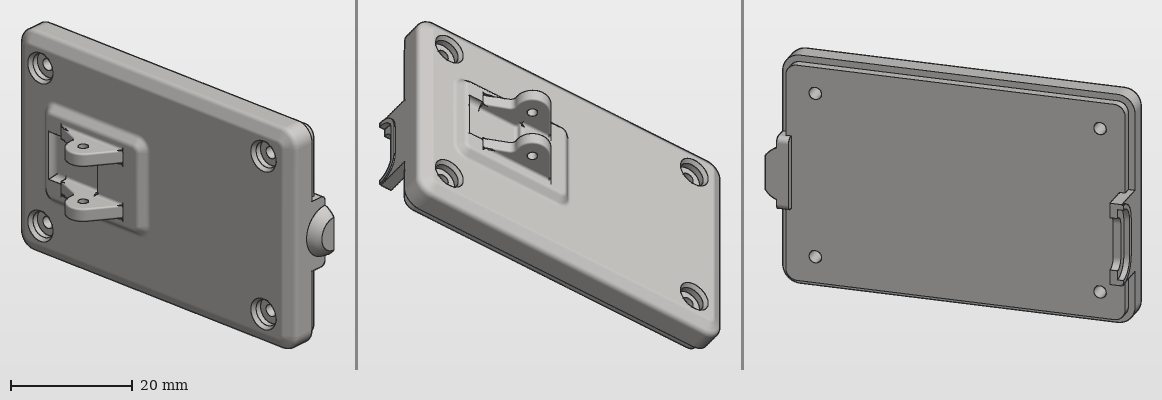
import cadquery as cq
import math

plate_width = 61.1
plate_height = 40.3
plate_corner_radius = 3.05
rim_depth = 5.0
lip_back = 6.7
lip_inset = 1.15
bevel_inset = 2.15
bevel_angle = 30
edge_radius = 1.0
tab_thickness = 2.1

screw_x = (-25.1, 24.3)
screw_z = 14.45
screw_diameter = 2.15
head_mouth_diameter = 5.6
head_diameter = 4.6
head_taper_depth = 0.75
head_depth = 1.85

pad_width = 22.85
pad_height = 18.05
pad_center_x = -12.5
pad_rise = 1.4
pad_sink = 0.2
pad_corner_radius = 2.3

pin_x = -11.5
pin_y = -4.5
pin_diameter = 1.7
lug_tip_radius = 3.05
lug_thickness = 2.35
lug_gap = 7.7
lug_left_x = -19.25
lug_right_x = -5.6
lug_toe_angle = 22.5
lug_neck_radius = 1.0
lug_edge_radius = 0.3
lug_foot_radius = 0.5

relief_left_x = -22.05
relief_depth = 1.25
relief_step_x = -11.5
relief_side_radius = 1.0
relief_overlap = 0.5

port_center_z = -3.6
port_tab_height = 14.4
port_tab_back = 11.8
port_opening_height = 9.25
port_opening_depth = 1.7
port_opening_radius = 1.6
port_recess_margin = 1.6
port_recess_depth = 1.0
port_recess_radius = 3.15
collar_margin = 2.4
collar_radius = 3.9
collar_rise = 0.25

button_tab_height = 12.8
button_tab_back = 8.2
button_tab_radius = 1.0
button_base_radius = 4.55
button_tip_radius = 3.0
button_rise = 1.95
button_bulge = 0.25

half_width = plate_width / 2
pad_y = -pad_rise


def block(x_min, x_max, y_min, y_max, height, center_z=0):
    """Box between the given X and Y limits, centred on center_z."""
    size_x = x_max - x_min
    size_y = y_max - y_min
    center = ((x_min + x_max) / 2, (y_min + y_max) / 2, center_z)
    return cq.Workplane("XY").box(size_x, size_y, height).translate(center)


def slab(width, height, corner_radius, y_front, y_back):
    """Plate in the XZ plane with rounded corners."""
    body = block(-width / 2, width / 2, y_front, y_back, height)
    return body.edges("|Y").fillet(corner_radius)


def make_plate():
    """Plate with a bevelled, softened front edge and a stepped lip at the back."""
    bevel_depth = bevel_inset * math.tan(math.radians(bevel_angle))
    plate = slab(plate_width, plate_height, plate_corner_radius, 0, rim_depth)
    plate = plate.faces("<Y").chamfer(bevel_inset, bevel_depth)
    near_front = cq.selectors.BoxSelector(
        (-plate_width, -0.65, -plate_height), (plate_width, bevel_depth + 0.05, plate_height), boundingbox=True
    )
    rims = plate.edges(near_front).edges("|X or |Z")
    plate = rims.fillet(edge_radius)
    lip = slab(
        plate_width - 2 * lip_inset,
        plate_height - 2 * lip_inset,
        plate_corner_radius - lip_inset,
        rim_depth - 0.65,
        lip_back,
    )
    return plate.union(lip)


def make_pad():
    """Raised pad whose 45-degree sides run on a little below the plate face."""
    width = pad_width + 2 * pad_sink
    height = pad_height + 2 * pad_sink
    pad = slab(width, height, pad_corner_radius + pad_sink, pad_y, 2 * pad_sink)
    pad = pad.faces("<Y").chamfer(pad_rise + pad_sink)
    pad = pad.faces("<Y").edges().fillet(edge_radius)
    return pad.translate((pad_center_x, 0, 0))


def blend_pad_foot(body):
    """Fillet the seam between the pad and the plate face."""
    reach = 0.65
    seam = cq.selectors.BoxSelector(
        (pad_center_x - pad_width / 2 - reach, -0.03, -pad_height / 2 - reach),
        (pad_center_x + pad_width / 2 + reach, 0.03, pad_height / 2 + reach),
        boundingbox=True,
    )
    return body.edges(seam).fillet(edge_radius)


def cut_gap(body):
    """Sink the pad between the lugs, ending in an S-shaped step on the right."""
    floor_y = pad_y + relief_depth
    step_radius = relief_depth / 2
    gap_left_x = relief_left_x + relief_side_radius
    mid_y = (pad_y + floor_y) / 2
    slant = step_radius * math.sqrt(0.5)
    above = pad_y - 9.5
    gap = (
        cq.Workplane("XY")
        .moveTo(gap_left_x, above)
        .lineTo(gap_left_x, floor_y)
        .lineTo(relief_step_x - step_radius, floor_y)
        .threePointArc(
            (relief_step_x - step_radius + slant, floor_y - step_radius + slant), (relief_step_x, mid_y)
        )
        .threePointArc(
            (relief_step_x + step_radius - slant, pad_y + step_radius - slant),
            (relief_step_x + step_radius, pad_y),
        )
        .lineTo(lug_right_x + 1.9, pad_y)
        .lineTo(lug_right_x + 1.9, above)
        .close()
        .extrude(lug_gap / 2, both=True)
    )
    foot_run = cq.selectors.BoxSelector(
        (gap_left_x - 0.65, pad_y - 0.05, -lug_gap), (lug_right_x + 2.55, floor_y + 0.05, lug_gap), boundingbox=True
    )
    gap = gap.edges(foot_run).edges("not |Z").fillet(lug_foot_radius)
    return body.cut(gap)


def cut_toe_pocket(body):
    """Wider, round-sided end of the sunk area, left of the lugs."""
    width = lug_gap + 2 * relief_overlap
    pocket = block(relief_left_x, lug_left_x, pad_y - 3.15, pad_y + relief_depth, width)
    pocket = pocket.faces(">Y").edges("<X or |X").fillet(relief_side_radius)
    return body.cut(pocket)


def polar(center, radius, degrees):
    """Point at an angle on a circle."""
    angle = math.radians(degrees)
    return (center[0] + radius * math.cos(angle), center[1] + radius * math.sin(angle))


def lug_outline():
    """Lug profile in XY: a round tip around the pin, a straight back and a shallow toe on the left."""
    pin = (pin_x, pin_y)
    back_x = lug_right_x - pin_x
    back_y = pad_y - pin_y
    back_distance = math.hypot(back_x, back_y)
    back_angle = math.degrees(math.atan2(back_y, back_x) - math.acos(lug_tip_radius / back_distance))

    toe_direction = math.radians(-lug_toe_angle)
    normal = (-math.sin(toe_direction), math.cos(toe_direction))
    along = (math.cos(toe_direction), math.sin(toe_direction))
    offset_start = (lug_left_x - lug_neck_radius * normal[0], pad_y - lug_neck_radius * normal[1])
    to_pin = (pin_x - offset_start[0], pin_y - offset_start[1])
    run = to_pin[0] * along[0] + to_pin[1] * along[1]
    drop = to_pin[0] * normal[0] + to_pin[1] * normal[1]
    reach = lug_tip_radius + lug_neck_radius
    run -= math.sqrt(reach**2 - drop**2)
    neck = (offset_start[0] + run * along[0], offset_start[1] + run * along[1])
    neck_start_angle = 90 - lug_toe_angle
    neck_end_angle = math.degrees(math.atan2(pin_y - neck[1], pin_x - neck[0]))
    tip_start_angle = neck_end_angle + 180

    root_y = -0.05
    return (
        cq.Workplane("XY")
        .moveTo(lug_left_x, root_y)
        .lineTo(lug_left_x, pad_y)
        .lineTo(*polar(neck, lug_neck_radius, neck_start_angle))
        .threePointArc(
            polar(neck, lug_neck_radius, (neck_start_angle + neck_end_angle) / 2),
            polar(neck, lug_neck_radius, neck_end_angle),
        )
        .threePointArc(
            polar(pin, lug_tip_radius, (tip_start_angle + 360 + back_angle) / 2),
            polar(pin, lug_tip_radius, back_angle),
        )
        .lineTo(lug_right_x, pad_y)
        .lineTo(lug_right_x, root_y)
        .close()
    )


def lug_foot(side):
    """Concave fillet strip along one face of a lug; side is +1 or -1 along Z."""
    radius = lug_foot_radius
    bend = radius * (1 - math.sqrt(0.5))
    return (
        cq.Workplane("YZ")
        .moveTo(pad_y, 0)
        .lineTo(pad_y - radius, 0)
        .threePointArc((pad_y - bend, side * bend), (pad_y, side * radius))
        .close()
        .extrude(plate_width, both=True)
    )


def make_lugs():
    """Pair of lugs with softened profile edges and filleted feet."""
    lug = lug_outline().extrude(lug_thickness)
    free = cq.selectors.BoxSelector(
        (lug_left_x - 0.65, pad_y - 9.5, -0.65), (lug_right_x + 0.65, pad_y + 0.05, lug_thickness + 0.65), boundingbox=True
    )
    lug = lug.edges(free).edges("not |Z").fillet(lug_edge_radius)
    outline_prism = lug_outline().extrude(plate_height, both=True)
    outer_foot = outline_prism.intersect(lug_foot(1)).translate((0, 0, lug_thickness))
    pad_level = block(relief_step_x, plate_width, pad_y - 3.15, pad_y + 0.65, plate_height)
    inner_foot = outline_prism.intersect(lug_foot(-1)).intersect(pad_level)
    upper = lug.union(outer_foot).union(inner_foot).translate((0, 0, lug_gap / 2))
    return upper.union(upper.mirror("XY"))


def cut_pin_hole(body):
    """Pin hole through both lugs."""
    pin = cq.Workplane("XY").center(pin_x, pin_y).circle(pin_diameter / 2).extrude(plate_height, both=True)
    return body.cut(pin)


def cut_screw_holes(body):
    """Through holes with a tapered mouth over a round head seat."""
    for x in screw_x:
        for z in (-screw_z, screw_z):
            profile = (
                cq.Workplane("XY")
                .moveTo(0, 0)
                .lineTo(head_mouth_diameter / 2, 0)
                .lineTo(head_diameter / 2, head_taper_depth)
                .lineTo(head_diameter / 2, head_depth)
                .lineTo(screw_diameter / 2, head_depth)
                .lineTo(screw_diameter / 2, lip_back)
                .lineTo(0, lip_back)
                .close()
            )
            cutter = profile.revolve(360, (0, 0, 0), (0, 1, 0))
            body = body.cut(cutter.translate((x, 0, z)))
    return body


def port_shape(margin, radius, x_min, x_max):
    """U-shaped prism around the port opening, open at the back of the tab."""
    front = port_tab_back - port_opening_depth - margin
    height = port_opening_height + 2 * margin
    prism = block(x_min, x_max, front, port_tab_back + 0.65, height, port_center_z)
    return prism.edges("|X and <Y").fillet(radius)


def add_port_tab(body):
    """Tab on the left side with a raised collar, a recess and a U-shaped opening."""
    tab_inner_x = -half_width + tab_thickness
    tab = block(-half_width, tab_inner_x, rim_depth - 0.65, port_tab_back, port_tab_height, port_center_z)
    collar = port_shape(collar_margin, collar_radius, -half_width - collar_rise, -half_width + 0.65)
    behind = block(-half_width - 3.15, half_width, port_tab_back, port_tab_back + 3.15, plate_height)
    collar = collar.cut(behind)
    recess_floor = -half_width - collar_rise + port_recess_depth
    recess = port_shape(port_recess_margin, port_recess_radius, -half_width - 3.15, recess_floor)
    opening = port_shape(0, port_opening_radius, -half_width - 3.15, -half_width + 3.15)
    return body.union(tab).union(collar).cut(recess).cut(opening)


def add_button_tab(body):
    """Tab on the right side carrying half of a domed button."""
    tab = block(half_width - tab_thickness, half_width, rim_depth - 0.65, button_tab_back, button_tab_height)
    tab = tab.edges("|X and >Y").fillet(button_tab_radius)
    shoulder_x = half_width + button_rise / 2
    shoulder_radius = (button_base_radius + button_tip_radius) / 2 + button_bulge
    dome = (
        cq.Workplane("XY")
        .moveTo(half_width - 0.65, 0)
        .lineTo(half_width - 0.65, button_base_radius)
        .lineTo(half_width, button_base_radius)
        .threePointArc((shoulder_x, shoulder_radius), (half_width + button_rise, button_tip_radius))
        .lineTo(half_width + button_rise, 0)
        .close()
        .revolve(360, (0, 0, 0), (1, 0, 0))
        .translate((0, button_tab_back, 0))
    )
    behind = block(0, half_width + 3.15, button_tab_back, button_tab_back + 6.3, plate_height)
    return body.union(tab).union(dome.cut(behind))


pad = cut_toe_pocket(cut_gap(make_pad()))
body = blend_pad_foot(make_plate().union(pad)).union(make_lugs())
body = cut_pin_hole(body)
body = cut_screw_holes(body)
body = add_port_tab(body)
result = add_button_tab(body)